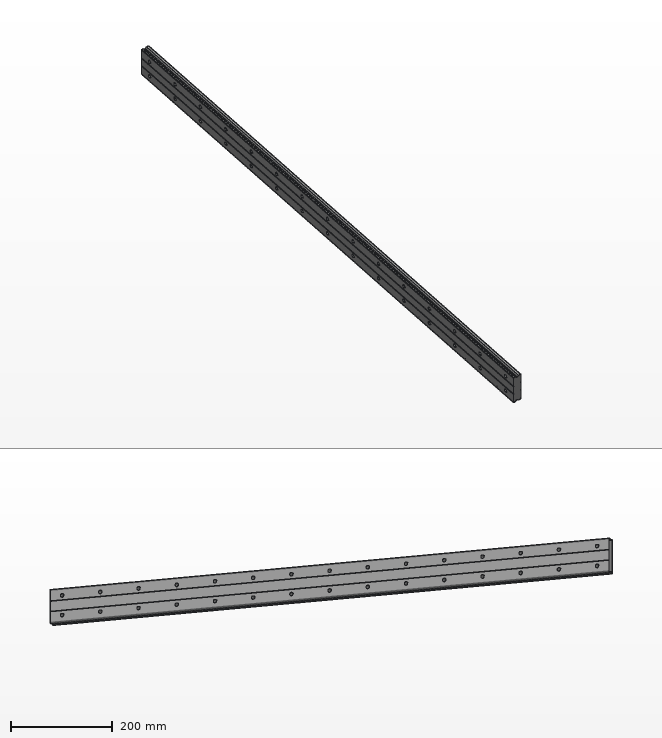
import cadquery as cq

length = 1170.0
thickness = 19.0
height = 69.0

front_chamfer = 1.0
back_radius = 2.0

channel_mouth = 8.4
channel_depth = 2.9
channel_floor = channel_mouth - 2 * channel_depth
channel_y = -1.0

scribe_width = 1.0
scribe_depth = scribe_width / 2
scribe_spacing = 21.0

hole_count = 15
hole_diameter = 7.0
hole_span = 1120.0
hole_pitch = hole_span / (hole_count - 1)
hole_row_spacing = hole_pitch / 2


def lengthwise_bar(outline):
    """Closed (y, z) outline extruded over the full length of the rail."""
    return cq.Workplane("YZ").polyline(outline).close().extrude(length / 2, both=True)


def edge_channel(side):
    """Cutter for the channel in the top (side = 1) or bottom (side = -1) edge."""
    mouth_z = side * height / 2
    floor_z = side * (height / 2 - channel_depth)
    return lengthwise_bar(
        [
            (channel_y - channel_mouth / 2, mouth_z),
            (channel_y - channel_floor / 2, floor_z),
            (channel_y + channel_floor / 2, floor_z),
            (channel_y + channel_mouth / 2, mouth_z),
        ]
    )


def scribe_line(side, z):
    """Cutter for a scribe line at height z on the back (side = 1) or front (side = -1) face."""
    face_y = side * thickness / 2
    return lengthwise_bar(
        [
            (face_y, z - scribe_width / 2),
            (face_y - side * scribe_depth, z),
            (face_y, z + scribe_width / 2),
        ]
    )


rail = cq.Workplane("XY").box(length, thickness, height)
rail = rail.faces("<Y").edges("|X").chamfer(front_chamfer)
rail = rail.faces(">Y").edges("|X").fillet(back_radius)

for side in (-1, 1):
    rail = rail.cut(edge_channel(side))
    for z in (-scribe_spacing / 2, scribe_spacing / 2):
        rail = rail.cut(scribe_line(side, z))

holes = (
    cq.Workplane("XZ", origin=(0, thickness / 2, 0))
    .rarray(hole_pitch, hole_row_spacing, hole_count, 2)
    .circle(hole_diameter / 2)
    .extrude(thickness)
)

result = rail.cut(holes)